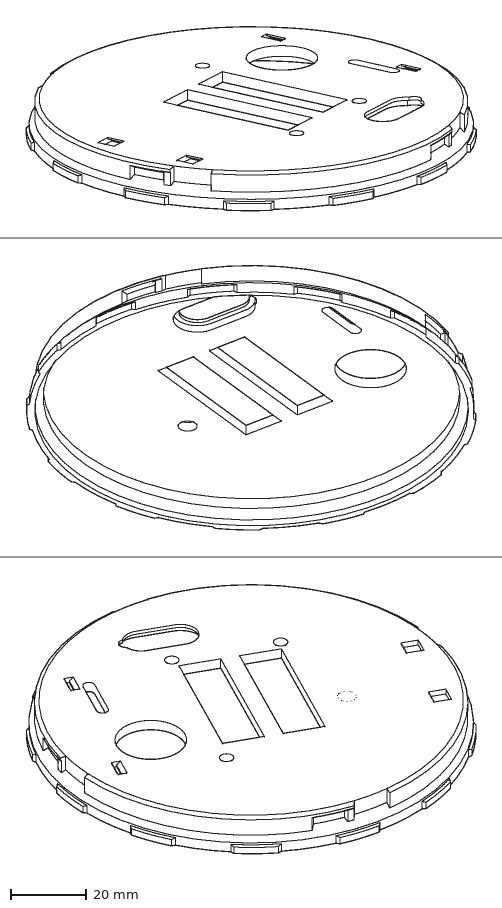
import cadquery as cq
import math

height = 10.0
plate_thickness = 3.0

base_radius = 118.0 / 2
base_height = 3.0
rim_radius = 57.5
cavity_radius = 110.6 / 2
mouth_radius = 57.5
mouth_height = 1.8
top_face_radius = 56.3
top_chamfer_height = 0.7
shoulder_height = base_height + base_radius - rim_radius

bump_count = 13
bump_projection = 0.7
bump_height = 2.4
bump_span = 13.0
bump_top_drop = 0.4
bump_side_flare = 1.2
bump_angle = -84.9

groove_count = 4
groove_depth = 1.2
groove_roof = 8.5
groove_taper = 0.7
groove_start = -90.6
run_span = 10.4
detent_span = 1.6
detent_drop = 0.2
entry_span = 11.4

window_length = 39.6
window_width = 11.6
window_x = 1.8
window_ys = (7.6, -9.2)
round_hole_diameter = 19.0
round_hole_center = (-10.9, 31.1)
long_slot_length = 15.5
long_slot_width = 3.2
long_slot_center = (13.1, 39.1)
keyhole_width = 9.8
keyhole_x = 36.1
keyhole_low_y = 8.6
keyhole_high_y = 19.6
keyhole_nub_diameter = 3.8
keyhole_nub_y = 23.7
keyhole_lip = 1.0
keyhole_relief = 1.5

countersink_diameter = 3.8
countersink_floor_diameter = 1.1
countersink_depth = 2.0
countersink_centers = ((-25.0, 14.4), (24.8, 14.4), (24.8, -15.7))

blind_hole_diameter = 5.0
blind_hole_center = (-5.4, -24.9)
blind_hole_skin = 0.3

pocket_depth = 1.5
pocket_lip = 0.5
undercut = 1.8
rear_pocket_x = 21.5
rear_pocket_length = 6.1
rear_pocket_y = (41.9, 44.4)
rear_ramp = 1.1
front_pocket_x = 12.5
front_pocket_length = 5.1
front_pocket_y = (-51.0, -46.2)

over = 1.2


def ring(points):
    """Revolve an outline of (radius, z) points about the Z axis."""
    return cq.Workplane("XZ").polyline(points).close().revolve(360, (0, 0), (0, 1))


def sector(start, end, start_flare=0.0, end_flare=0.0, radius=rim_radius):
    """Full-height wedge between two angles in degrees, met exactly at the given radius.

    A flare slants that side away from the wedge's middle by this length per unit
    of radius, so a negative flare narrows the wedge outwards.
    """
    def corner(angle, reach, shift):
        turn = math.radians(angle)
        return (
            (radius + reach) * math.cos(turn) - shift * math.sin(turn),
            (radius + reach) * math.sin(turn) + shift * math.cos(turn),
        )

    reach = 4.8
    outline = [
        corner(start, -reach, reach * start_flare),
        corner(start, reach, -reach * start_flare),
        corner(end, reach, reach * end_flare),
        corner(end, -reach, -reach * end_flare),
    ]
    return cq.Workplane("XY").polyline(outline).close().extrude(height + over)


def repeat(shape, count):
    """Union of copies of a shape spaced evenly about the Z axis."""
    copies = shape
    for index in range(1, count):
        copies = copies.union(shape.rotate((0, 0, 0), (0, 0, 1), index * 360 / count))
    return copies


def make_base():
    """Plate, cavity wall and base flange, with the wall at the groove floor radius."""
    floor_radius = rim_radius - groove_depth
    return ring([
        (0, height),
        (floor_radius, height),
        (floor_radius, base_height + base_radius - floor_radius),
        (base_radius, base_height),
        (base_radius, 0),
        (mouth_radius, 0),
        (mouth_radius, mouth_height),
        (cavity_radius, mouth_height + mouth_radius - cavity_radius),
        (cavity_radius, height - plate_thickness),
        (0, height - plate_thickness),
    ])


def make_rim():
    """Raised band around the wall, rooted inside the flange and cut by the grooves."""
    root_radius = cavity_radius + 0.4
    root_z = shoulder_height - 0.4
    band = ring([
        (root_radius, height),
        (top_face_radius, height),
        (rim_radius, height - top_chamfer_height),
        (rim_radius, root_z),
        (root_radius, root_z),
    ])
    return band.cut(make_grooves())


def make_bumps():
    outer = base_radius + bump_projection
    root_depth = 0.4
    root = base_radius - root_depth
    band = ring([
        (root, 0),
        (outer, 0),
        (outer, bump_height - bump_top_drop),
        (base_radius, bump_height),
        (root, bump_height),
    ])
    wedge = sector(
        bump_angle - bump_span / 2, bump_angle + bump_span / 2,
        -bump_side_flare, -bump_side_flare, base_radius,
    )
    return repeat(band.intersect(wedge), bump_count)


def make_grooves():
    """L-shaped grooves: a roofed run, a low detent rib and an entry open to the top."""
    floor_radius = rim_radius - groove_depth
    outer = rim_radius + over
    slant = groove_taper / groove_depth
    detent_start = groove_start + run_span
    entry_start = detent_start + detent_span
    groove_end = entry_start + entry_span

    roofed = ring([
        (floor_radius, 0),
        (outer, 0),
        (outer, groove_roof + over * slant),
        (floor_radius, groove_roof - groove_taper),
    ])
    run = roofed.intersect(sector(groove_start, detent_start, slant, slant))
    rib_gap = ring([
        (rim_radius - detent_drop, 0),
        (outer, 0),
        (outer, groove_roof),
        (rim_radius - detent_drop, groove_roof),
    ]).intersect(sector(detent_start - 1, entry_start + 1))
    open_band = ring([
        (floor_radius, 0),
        (outer, 0),
        (outer, height + over),
        (floor_radius, height + over),
    ])
    entry = open_band.intersect(sector(entry_start, groove_end, slant))
    return repeat(run.union(rib_gap).union(entry), groove_count)


def through_plate(sketch):
    return sketch.extrude(-plate_thickness)


def make_openings():
    top = cq.Workplane("XY").workplane(offset=height)
    windows = through_plate(
        top.pushPoints([(window_x, y) for y in window_ys]).rect(window_length, window_width)
    )
    round_hole = through_plate(top.center(*round_hole_center).circle(round_hole_diameter / 2))
    long_slot = through_plate(top.center(*long_slot_center).slot2D(long_slot_length, long_slot_width))
    return windows.union(round_hole).union(long_slot)


def upright_slot(depth, width):
    """Slot along Y at the keyhole, from a depth below the top face to the plate underside."""
    return (
        cq.Workplane("XY").workplane(offset=height - plate_thickness)
        .center(keyhole_x, (keyhole_low_y + keyhole_high_y) / 2)
        .slot2D(keyhole_high_y - keyhole_low_y + width, width, 90)
        .extrude(plate_thickness - depth)
    )


def nub_hole(depth, diameter):
    """Round hole at the keyhole's +Y end, from a depth to the plate underside."""
    return (
        cq.Workplane("XY").workplane(offset=height - plate_thickness)
        .center(keyhole_x, keyhole_nub_y)
        .circle(diameter / 2)
        .extrude(plate_thickness - depth)
    )


def make_keyhole():
    """Slot with a round nub, widened on every side below a lip."""
    growth = 2 * keyhole_relief
    opening = upright_slot(0, keyhole_width).union(nub_hole(0, keyhole_nub_diameter))
    relief = (
        upright_slot(keyhole_lip, keyhole_width + growth)
        .union(nub_hole(keyhole_lip, keyhole_nub_diameter + growth))
    )
    return opening.union(relief)


def make_blind_hole():
    return (
        cq.Workplane("XY")
        .center(*blind_hole_center)
        .circle(blind_hole_diameter / 2)
        .extrude(height - blind_hole_skin)
    )


def countersink(x, y):
    return cq.Workplane("XY").add(cq.Solid.makeCone(
        countersink_diameter / 2,
        countersink_floor_diameter / 2,
        countersink_depth,
        cq.Vector(x, y, height),
        cq.Vector(0, 0, -1),
    ))


def pocket_prism(x, length, outline):
    """Extrude a (y, z) outline along X, centred on x."""
    return (
        cq.Workplane("YZ").workplane(offset=x - length / 2)
        .polyline(outline).close().extrude(length)
    )


def hook_pocket(x, length, y_range):
    """Flat-floored pocket that runs on towards +Y below a lip."""
    y_low, y_high = y_range
    floor = height - pocket_depth
    lip_bottom = height - pocket_lip
    return pocket_prism(x, length, [
        (y_low, height),
        (y_low, floor),
        (y_high + undercut, floor),
        (y_high + undercut, lip_bottom),
        (y_high, lip_bottom),
        (y_high, height),
    ])


def rear_pocket(x):
    """Hook pocket with a 45 degree lead-in ramp on its -Y side."""
    y_low, y_high = rear_pocket_y
    y_ramp_end = y_low + rear_ramp
    ramp = pocket_prism(x, rear_pocket_length, [
        (y_low, height),
        (y_ramp_end, height - rear_ramp),
        (y_ramp_end, height),
    ])
    return hook_pocket(x, rear_pocket_length, (y_ramp_end, y_high)).union(ramp)


def front_pocket(x):
    return hook_pocket(x, front_pocket_length, front_pocket_y)


result = make_base().union(make_rim()).union(make_bumps()).cut(make_openings())
result = result.cut(make_keyhole())
result = result.cut(make_blind_hole())
for center in countersink_centers:
    result = result.cut(countersink(*center))
for side in (-1, 1):
    result = result.cut(rear_pocket(side * rear_pocket_x))
    result = result.cut(front_pocket(side * front_pocket_x))